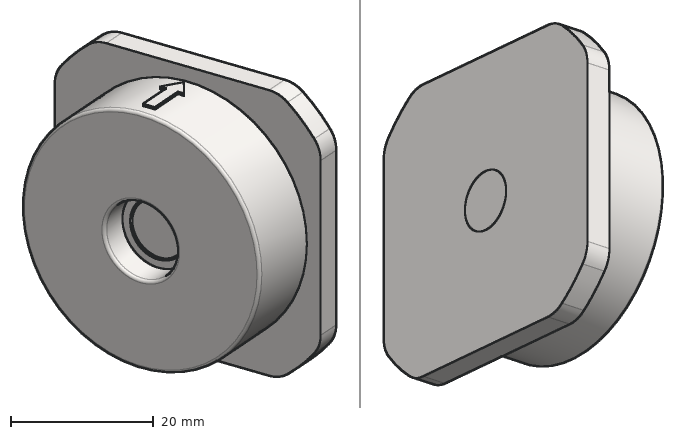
import cadquery as cq
import math

flange_width = 44.6
flange_thickness = 4.0
corner_circle_radius = 27.03
corner_fillet = 5.0

drum_radius = 20.0
drum_length = 12.0
rim_fillet = 0.5

bore_radius = 6.0
bore_depth = 4.5
aperture_radius = 4.5
aperture_chamfer = 0.22

arrow_height = 0.3
arrow_tip_gap = 1.0
arrow_length = 8.9
arrow_head_length = 3.0
arrow_head_width = 4.0
arrow_shaft_width = 2.0

bore_floor_y = bore_depth - drum_length
window_front_y = bore_floor_y + aperture_chamfer
window_length = flange_thickness - window_front_y


def cylinder_along_y(radius, start_y, length):
    """Round bar on the Y axis that runs from start_y toward +Y."""
    return cq.Workplane("XZ", origin=(0, start_y, 0)).circle(radius).extrude(-length)


def make_flange():
    square = cq.Workplane("XZ").rect(flange_width, flange_width).extrude(-flange_thickness)
    corner_round = cylinder_along_y(corner_circle_radius, 0, flange_thickness)
    return square.intersect(corner_round).edges("|Y").fillet(corner_fillet)


def make_drum():
    drum = cylinder_along_y(drum_radius, -drum_length, drum_length)
    bore = cylinder_along_y(bore_radius, -drum_length, bore_depth)
    return drum.cut(bore).faces("<Y").edges().fillet(rim_fillet)


def make_window():
    """Plug that fills the aperture from the foot of its chamfer to the back of the flange."""
    return cylinder_along_y(aperture_radius, window_front_y, window_length)


def make_housing():
    chamfer_cone = cq.Workplane("XY").add(
        cq.Solid.makeCone(
            aperture_radius + aperture_chamfer,
            aperture_radius,
            aperture_chamfer,
            pnt=cq.Vector(0, bore_floor_y, 0),
            dir=cq.Vector(0, 1, 0),
        )
    )
    return make_flange().union(make_drum()).cut(chamfer_cone).cut(make_window())


def make_arrow():
    """Arrow with a flat top and an underside that follows the drum."""
    tip_y = -arrow_tip_gap
    head_base_y = tip_y - arrow_head_length
    tail_y = tip_y - arrow_length
    half_head = arrow_head_width / 2
    half_shaft = arrow_shaft_width / 2
    outline = [
        (0, tip_y),
        (half_head, head_base_y),
        (half_shaft, head_base_y),
        (half_shaft, tail_y),
        (-half_shaft, tail_y),
        (-half_shaft, head_base_y),
        (-half_head, head_base_y),
    ]
    base_z = math.sqrt(drum_radius**2 - half_head**2)
    top_z = drum_radius + arrow_height
    prism = cq.Workplane("XY", origin=(0, 0, base_z)).polyline(outline).close().extrude(top_z - base_z)
    return prism.cut(cylinder_along_y(drum_radius, -drum_length, drum_length))


housing = make_housing()
window = make_window()
arrow = make_arrow()

result = cq.Compound.makeCompound([housing.solids().val(), window.solids().val(), arrow.solids().val()])